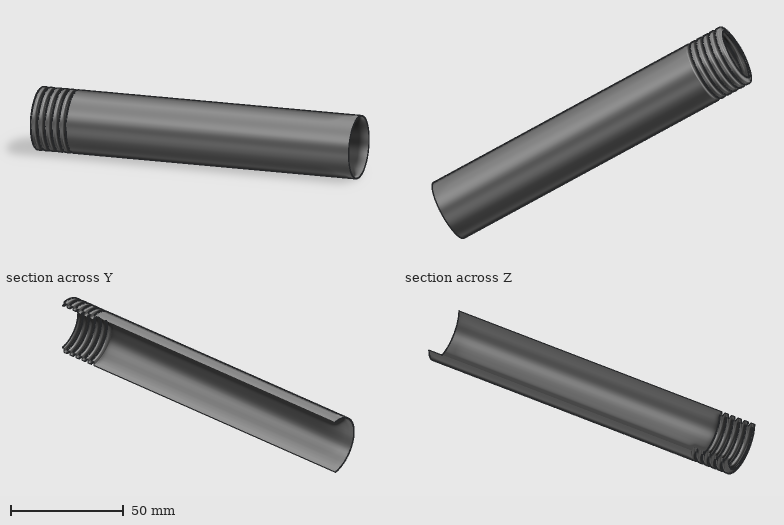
import cadquery as cq


total_length = 150.0
crest_diameter = 28.4
root_diameter = 23.7
wall = 0.38
ridge_count = 5
end_neck = 0.65
neck_width = 1.15
crest_flat = 1.23
convex_bend = 0.5
concave_bend = 0.22

crest_radius = crest_diameter / 2
root_radius = root_diameter / 2
ridge_width = crest_flat + 2 * convex_bend
pitch = neck_width + ridge_width
tube_start = end_neck + ridge_count * pitch


def disc(start, end, radius):
    """Solid disc along X between two stations."""
    return cq.Workplane("YZ", origin=(start, 0, 0)).circle(radius).extrude(end - start)


def round_rims(body, radius, bend):
    """Fillet every circular edge of the given radius, except those on the two end faces."""

    def is_inner_rim(edge):
        away_from_ends = wall / 2 < edge.Center().x < total_length - wall / 2
        return away_from_ends and abs(edge.radius() - radius) < wall / 10

    return body.edges("%CIRCLE").filter(is_inner_rim).fillet(bend)


def bellows_body(inset, crest_bend, root_bend):
    """Solid bellows and tube whose surface lies the given distance inside the outer skin."""
    crest = crest_radius - inset
    root = root_radius - inset
    body = disc(0, total_length, root)
    for index in range(ridge_count):
        start = end_neck + index * pitch
        ridge = disc(start + inset, start + ridge_width - inset, crest)
        body = body.union(ridge)
    body = body.union(disc(tube_start + inset, total_length, crest))
    body = round_rims(body, crest, crest_bend)
    return round_rims(body, root, root_bend)


outer_body = bellows_body(0, convex_bend, concave_bend)
cavity = bellows_body(wall, concave_bend, convex_bend)

result = outer_body.cut(cavity)